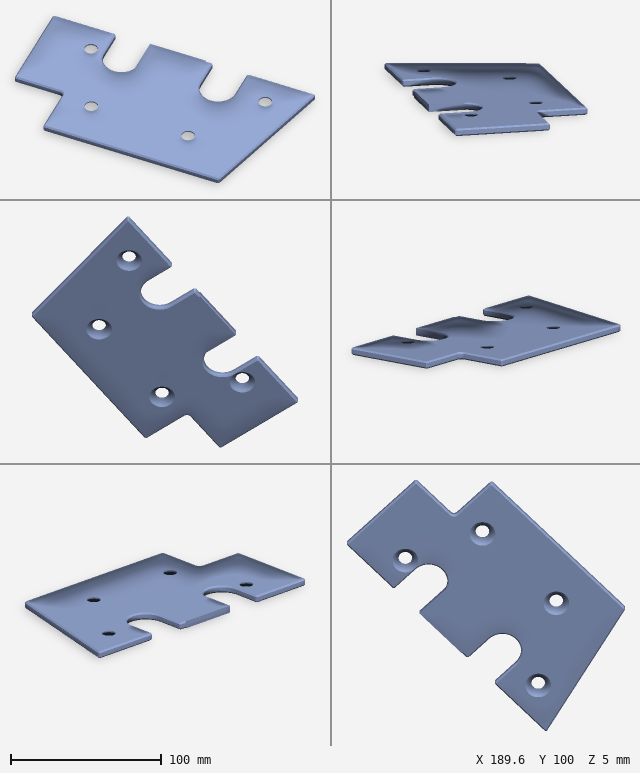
import cadquery as cq
import math

PLATE_LENGTH = 189.56
PLATE_DEPTH = 100.0
THICKNESS = 5.0
END_ANGLE = 15.0
STEP_WIDTH = 35.85
STEP_HEIGHT = 35.0
STEP_FILLET = 3.0
EDGE_CHAMFER = 1.0

SLOT_SPACING = 70.0
STEP_TO_SLOT = 22.0
LEFT_SLOT_X = STEP_WIDTH + STEP_TO_SLOT
SLOT_XS = (LEFT_SLOT_X, LEFT_SLOT_X + SLOT_SPACING)
SLOT_RADIUS = 12.5
SLOT_CENTRE_Y = 80.0

SLOT_TO_BLOCK = 12.0
BLOCK_LEFT_X = LEFT_SLOT_X + SLOT_TO_BLOCK
BLOCK_WIDTH = 40.0
BLOCK_DEPTH = 30.0

HOLE_DIAMETER = 9.0
COUNTERSINK_DIAMETER = 17.0
COUNTERSINK_ANGLE = 90.0
UPPER_HOLE_SPACING = 126.0
UPPER_HOLE_XS = (STEP_WIDTH, STEP_WIDTH + UPPER_HOLE_SPACING)
UPPER_HOLE_Y = SLOT_CENTRE_Y
LOWER_HOLE_XS = SLOT_XS
LOWER_HOLE_Y = 30.0


def plate_blank():
    """Plate with a leaning right end and a notch in the lower left corner."""
    lean = math.radians(END_ANGLE)
    tip_x = PLATE_LENGTH + EDGE_CHAMFER * math.sin(lean)
    lower_right_x = tip_x - PLATE_DEPTH * math.tan(lean)
    return (
        cq.Workplane("XY")
        .moveTo(STEP_WIDTH, 0)
        .lineTo(lower_right_x, 0)
        .lineTo(tip_x, PLATE_DEPTH)
        .lineTo(0, PLATE_DEPTH)
        .lineTo(0, STEP_HEIGHT)
        .lineTo(STEP_WIDTH, STEP_HEIGHT)
        .close()
        .extrude(THICKNESS)
    )


def open_slot(centre_x):
    """Round-bottomed slot cutter that opens through the +Y edge."""
    straight_length = PLATE_DEPTH - SLOT_CENTRE_Y
    round_end = cq.Workplane("XY").center(centre_x, SLOT_CENTRE_Y).circle(SLOT_RADIUS).extrude(THICKNESS)
    straight = (
        cq.Workplane("XY")
        .center(centre_x, SLOT_CENTRE_Y + straight_length / 2)
        .rect(2 * SLOT_RADIUS, straight_length)
        .extrude(THICKNESS)
    )
    return round_end.union(straight)


def break_edges(plate):
    """Round the notch corner, then chamfer the upright corners and both face outlines."""
    mid_z = THICKNESS / 2
    notch_corner = cq.selectors.NearestToPointSelector((STEP_WIDTH, STEP_HEIGHT, mid_z))
    plate = plate.edges(notch_corner).fillet(STEP_FILLET)

    plate = plate.faces("<X or <Y or >Y").edges("|Z").chamfer(EDGE_CHAMFER)

    return plate.faces("<Z or >Z").edges().chamfer(EDGE_CHAMFER)


def tongue_block():
    """Full-thickness block that replaces the chamfers on part of the tongue."""
    block = cq.Workplane("XY").box(BLOCK_WIDTH, BLOCK_DEPTH, THICKNESS, centered=False)
    return block.translate((BLOCK_LEFT_X, PLATE_DEPTH - BLOCK_DEPTH, 0))


def countersunk_hole(centre_x, centre_y):
    """Cutter for a through hole with a countersink in the lower face."""
    hole = cq.Workplane("XY").circle(HOLE_DIAMETER / 2).extrude(THICKNESS)
    half_angle = math.radians(COUNTERSINK_ANGLE / 2)
    sink_depth = (COUNTERSINK_DIAMETER - HOLE_DIAMETER) / 2 / math.tan(half_angle)
    countersink = (
        cq.Workplane("XY")
        .circle(COUNTERSINK_DIAMETER / 2)
        .workplane(offset=sink_depth)
        .circle(HOLE_DIAMETER / 2)
        .loft()
    )
    return hole.union(countersink).translate((centre_x, centre_y, 0))


plate = plate_blank()
for slot_x in SLOT_XS:
    plate = plate.cut(open_slot(slot_x))
plate = break_edges(plate).union(tongue_block())

for hole_x in UPPER_HOLE_XS:
    plate = plate.cut(countersunk_hole(hole_x, UPPER_HOLE_Y))
for hole_x in LOWER_HOLE_XS:
    plate = plate.cut(countersunk_hole(hole_x, LOWER_HOLE_Y))

result = plate